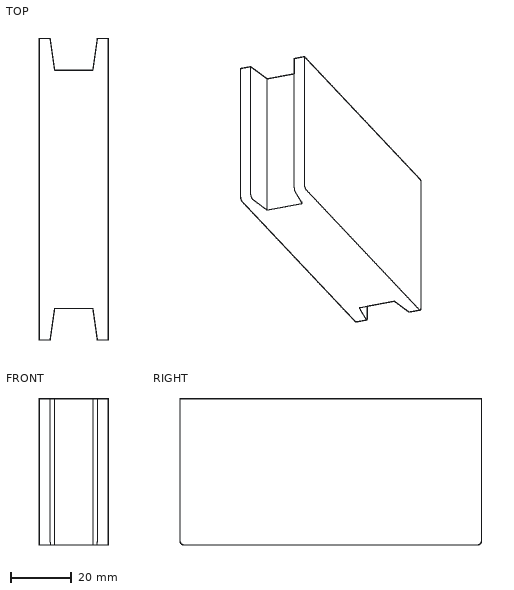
import cadquery as cq

width = 23.0
length = 100.0
height = 48.6

slot_depth = 10.5
slot_floor_width = 12.6
slot_mouth_width = 15.6

lower_edge_radius = 1.5


def make_block():
    """Plain block with its two lower end edges rounded."""
    block = cq.Workplane("XY").box(width, length, height, centered=(True, True, False))
    return block.edges("|X and <Z").fillet(lower_edge_radius)


def make_end_slot(side):
    """Tapered slot volume at one end: side is +1 for +Y and -1 for -Y."""
    mouth_y = side * length / 2
    floor_y = side * (length / 2 - slot_depth)
    outline = [
        (-slot_mouth_width / 2, mouth_y),
        (-slot_floor_width / 2, floor_y),
        (slot_floor_width / 2, floor_y),
        (slot_mouth_width / 2, mouth_y),
    ]
    return cq.Workplane("XY").polyline(outline).close().extrude(height)


result = make_block()
for end_side in (-1, 1):
    result = result.cut(make_end_slot(end_side))